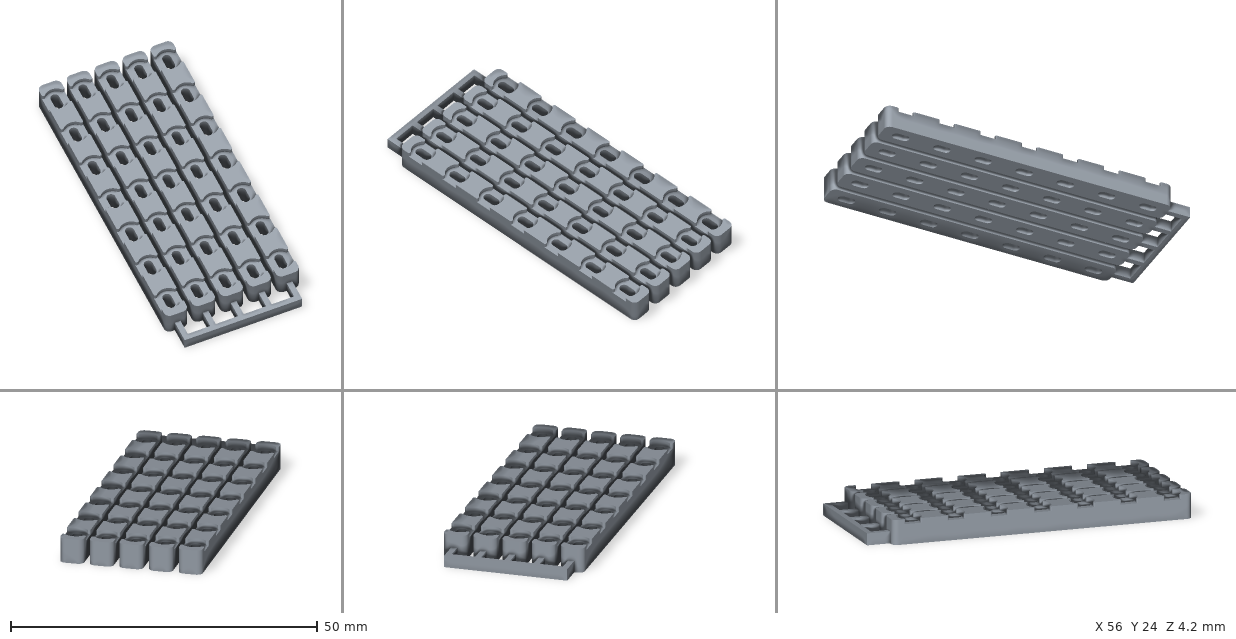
import cadquery as cq

total_length = 56.0
total_width = 24.0
strip_height = 4.2

strip_count = 5
strip_length = 52.0
strip_width = 4.05
strip_corner_radius = 1.0
strip_pitch = (total_width - strip_width) / (strip_count - 1)

seat_count = 7
seat_pitch = 7.5
seat_diameter = 4.15
seat_depth = 0.8
slot_length = 3.0
slot_width = 1.5

notch_width = 2.7
mouth_radius = 0.2

runner_width = 1.0
runner_height = 2.0
arm_length = total_length - strip_length


def centred_row(count, pitch):
    """Evenly spaced positions, symmetric about zero."""
    return [(i - (count - 1) / 2) * pitch for i in range(count)]


strip_centres = centred_row(strip_count, strip_pitch)
seat_centres = [(strip_length / 2 + x, 0) for x in centred_row(seat_count, seat_pitch)]


def bar(length, width, height):
    """Block starting at X = 0 and Z = 0, centred on Y."""
    return cq.Workplane("XY").box(length, width, height, centered=(False, True, False))


def notch_outline():
    """Rectangle across the strip whose four ends flare outward on quarter arcs."""
    half_neck = notch_width / 2
    half_width = strip_width / 2
    corners = [(sx, sy) for sx in (-1, 1) for sy in (-1, 1)]
    flares = [
        (sx * (half_neck + mouth_radius / 2), sy * (half_width - mouth_radius / 2))
        for sx, sy in corners
    ]
    arc_centres = [
        (sx * (half_neck + mouth_radius), sy * (half_width - mouth_radius))
        for sx, sy in corners
    ]
    return (
        cq.Sketch()
        .rect(notch_width, strip_width)
        .push(flares)
        .rect(mouth_radius, mouth_radius)
        .reset()
        .push(arc_centres)
        .circle(mouth_radius, mode="s")
        .reset()
    )


def make_strip():
    """One strip with rounded ends and a row of side-opening, slotted seats."""
    strip = bar(strip_length, strip_width, strip_height).edges("|Z").fillet(strip_corner_radius)
    seat_floor = cq.Workplane("XY", origin=(0, 0, strip_height - seat_depth)).pushPoints(seat_centres)
    notches = seat_floor.placeSketch(notch_outline()).extrude(seat_depth)
    bowls = seat_floor.circle(seat_diameter / 2).extrude(seat_depth)
    slots = (
        cq.Workplane("XY")
        .pushPoints(seat_centres)
        .slot2D(slot_length, slot_width)
        .extrude(strip_height)
    )
    return strip.cut(notches).cut(bowls).cut(slots)


def make_runner():
    """Cross bar along Y with one arm reaching back to the end face of every strip."""
    cross_bar_length = strip_centres[-1] - strip_centres[0] + runner_width
    cross_bar = bar(runner_width, cross_bar_length, runner_height)
    runner = cross_bar.translate((total_length - runner_width, 0, 0))
    arm = bar(arm_length, runner_width, runner_height)
    for y in strip_centres:
        runner = runner.union(arm.translate((strip_length, y, 0)))
    return runner


strip = make_strip()
result = make_runner()
for y in strip_centres:
    result = result.union(strip.translate((0, y, 0)))